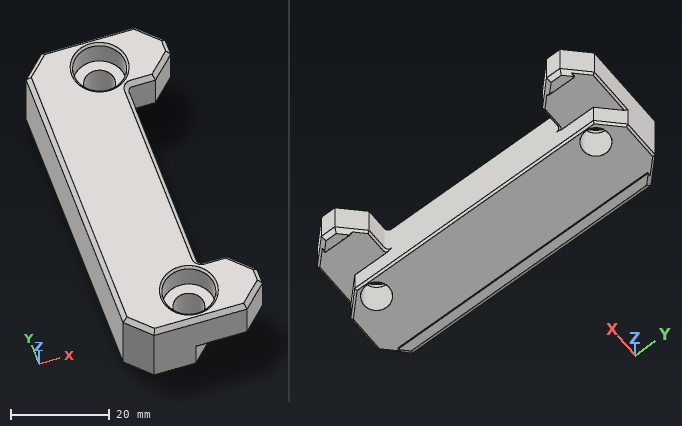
import cadquery as cq

width = 30.0
length = 72.0
height = 17.0

corner_cut = 5.0
body_width = 19.0
arm_width = 13.5
inner_corner_radius = 1.0

arm_thickness = 10.6
edge_chamfer = 1.0

relief_depth = 0.5
lip_width = 3.0
lip_length = 64.8

hole_spacing = 57.0
hole_diameter = 6.5
counterbore_diameter = 11.0
counterbore_depth = 6.2
counterbore_chamfer = 0.5

half_length = length / 2
arm_inner_y = half_length - arm_width
arm_bottom = height - arm_thickness


def cut_relief(solid, floor_z):
    """Recess an underside, leaving a lip along each long side that stops short of the ends."""
    underside = cq.Workplane("XY", origin=(width / 2, 0, floor_z))
    layer = underside.rect(width, length).extrude(relief_depth)
    lip_offset = (width - lip_width) / 2
    lips = (
        underside.pushPoints([(-lip_offset, 0), (lip_offset, 0)])
        .rect(lip_width, lip_length)
        .extrude(relief_depth)
    )
    return solid.cut(layer.cut(lips))


def make_upper_plate():
    """C-shaped plate: the back bar with an arm at each end."""
    outline = [
        (corner_cut, -half_length),
        (width - corner_cut, -half_length),
        (width, -half_length + corner_cut),
        (width, -arm_inner_y - corner_cut),
        (width - corner_cut, -arm_inner_y),
        (body_width, -arm_inner_y),
        (body_width, arm_inner_y),
        (width - corner_cut, arm_inner_y),
        (width, arm_inner_y + corner_cut),
        (width, half_length - corner_cut),
        (width - corner_cut, half_length),
        (corner_cut, half_length),
        (0, half_length - corner_cut),
        (0, -half_length + corner_cut),
    ]
    plate = cq.Workplane("XY", origin=(0, 0, arm_bottom)).polyline(outline).close().extrude(arm_thickness)
    for side in (-1, 1):
        inner_corner = (body_width, side * arm_inner_y, height - arm_thickness / 2)
        nearest_edge = cq.selectors.NearestToPointSelector(inner_corner)
        plate = plate.edges("|Z").edges(nearest_edge).fillet(inner_corner_radius)
    plate = plate.faces("<Z or >Z").chamfer(edge_chamfer)
    return cut_relief(plate, arm_bottom)


def make_lower_body():
    """Deep back bar, chamfered around its underside."""
    body = cq.Workplane("XY").box(
        body_width, length, height - edge_chamfer, centered=(False, True, False)
    )
    body = body.edges("|Z").chamfer(corner_cut)
    body = body.faces("<Z").chamfer(edge_chamfer)
    return cut_relief(body, 0)


def cut_screw_holes(solid):
    """Through hole with a chamfered counterbore at each end of the part."""
    hole_centers = [(width / 2, -hole_spacing / 2), (width / 2, hole_spacing / 2)]
    counterbore_radius = counterbore_diameter / 2
    for x, y in hole_centers:
        top = cq.Vector(x, y, height)
        down = cq.Vector(0, 0, -1)
        hole = cq.Solid.makeCylinder(hole_diameter / 2, height, top, down)
        counterbore = cq.Solid.makeCylinder(counterbore_radius, counterbore_depth, top, down)
        rim = cq.Solid.makeCone(
            counterbore_radius + counterbore_chamfer, counterbore_radius, counterbore_chamfer, top, down
        )
        solid = solid.cut(cq.Workplane(hole)).cut(cq.Workplane(counterbore)).cut(cq.Workplane(rim))
    return solid


result = cut_screw_holes(make_upper_plate().union(make_lower_body()))